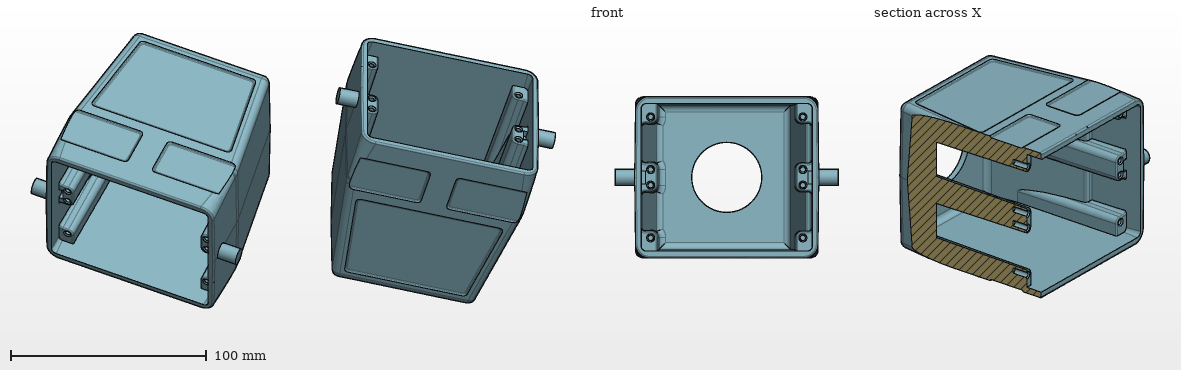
import cadquery as cq
import math


length = 94.0
half_width = 47.1
half_height = 41.3
side_lean = 8.2
bend_y = 29.9
bend_radius = 21.7
draft = 0.7
edge_radius = 4.0
mouth_corner_radius = 7.4
straight_length = 27.4
mouth_sections = 5
rim_round = 0.9

floor_y = 90.6
cavity_mouth_half_width = 43.8
cavity_mouth_half_height = 37.7
cavity_floor_half_height = 36.7
left_bend_y = 38.2
left_bend_half_width = 43.1
shoulder_y = 31.7
shoulder_length = 1.6
shoulder_outer = 43.2
shoulder_inner = 40.4
shoulder_round = 1.4
cavity_corner_radius = 2.8
floor_fillet = 3.4
cable_hole_diameter = 35.7

boss_y = 9.1
boss_inner_x = 35.6
boss_taper = 0.8
boss_corner_radius = 3.0
boss_end_round = 0.7
boss_foot_fillet = 3.3
boss_root_fillet = 2.0
boss_root_x = 43.7
centre_boss_half_height = 7.1
corner_boss_z = 27.8
screw_x = 38.9
centre_screw_z = 4.0
corner_screw_z = 30.9
screw_hole_diameter = 2.7
screw_sink_diameter = 4.1
screw_hole_depth = 9.1
notch_inner_x = 41.4
notch_height = 6.6
notch_depth = 3.4

pin_diameter = 8.4
pin_y = 8.5
pin_tip_x = 57.0
pin_embed = 1.1

panel_depth = 0.8
panel_wall_angle = 45.0
panel_corner_radius = 3.4
panel_floor_fillet = 0.9
label_front_y = 38.6
label_back_y = 87.4
label_inset = 6.6
latch_front_y = 11.7
latch_back_y = 33.3
latch_inner_x = 6.7

margin = 0.1
lean = math.tan(math.radians(side_lean))


def side_x(y):
    """Half width of the leaning outer side at depth y, on the parting line."""
    return half_width - lean * (y - bend_y)


def make_rear_shell():
    """Tapering rear of the hood, drafted both ways from the parting line."""
    back = side_x(length)
    plan = [
        (-half_width, 0),
        (half_width, 0),
        (half_width, bend_y),
        (back, length),
        (-back, length),
        (-half_width, bend_y),
    ]
    upper = cq.Workplane("XY").polyline(plan).close().extrude(half_height, taper=draft)
    bends = cq.selectors.BoxSelector(
        (-2 * half_width, bend_y - margin, 0),
        (2 * half_width, bend_y + margin, half_height),
    )
    upper = upper.edges("not(#Z)").edges(bends).fillet(bend_radius)
    upper = upper.edges("not(#Z)").edges(">Y").fillet(edge_radius)
    upper = upper.faces(">Z").edges("not(<Y)").fillet(edge_radius)
    shell = upper.union(upper.mirror("XY"))
    front_stretch = cq.Workplane("XY").box(4 * half_width, 2 * straight_length, 4 * half_height)
    return shell.cut(front_stretch)


def make_mouth_section(y):
    """Outline of the straight front at depth y, its corners larger nearer the mouth."""
    forward = 1 - y / straight_length
    radius = edge_radius + (mouth_corner_radius - edge_radius) * forward ** 1.5
    top = half_width - half_height * math.tan(math.radians(draft))
    points = [
        (-top, half_height),
        (top, half_height),
        (half_width, 0),
        (top, -half_height),
        (-top, -half_height),
        (-half_width, 0),
    ]
    wire = cq.Wire.makePolygon([cq.Vector(x, y, z) for x, z in points], close=True)
    corners = [v for v in wire.Vertices() if abs(v.Z) > half_height / 2]
    return wire.fillet2D(radius, corners)


def make_front_shell():
    depths = [straight_length * i / (mouth_sections - 1) for i in range(mouth_sections)]
    return cq.Workplane(cq.Solid.makeLoft([make_mouth_section(y) for y in depths]))


def make_outer_shell():
    front = make_front_shell().faces("<Y").edges().fillet(rim_round)
    return front.union(make_rear_shell())


def make_cavity():
    """Hollow with a thicker wall on the +X side, behind a sloped shoulder."""
    shoulder_end_y = shoulder_y + shoulder_length
    left_floor = left_bend_half_width - lean * (floor_y - left_bend_y)
    right_floor = shoulder_inner - lean * (floor_y - shoulder_end_y)
    plan = [
        (-cavity_mouth_half_width, 0),
        (cavity_mouth_half_width, 0),
        (shoulder_outer, shoulder_y),
        (shoulder_inner, shoulder_end_y),
        (right_floor, floor_y),
        (-left_floor, floor_y),
        (-left_bend_half_width, left_bend_y),
    ]
    heights = [
        (0, -cavity_mouth_half_height),
        (0, cavity_mouth_half_height),
        (floor_y, cavity_floor_half_height),
        (floor_y, -cavity_floor_half_height),
    ]
    side = cq.Workplane("YZ").polyline(heights).close().extrude(half_width, both=True)
    shoulder = cq.selectors.BoxSelector(
        (shoulder_inner - margin, shoulder_y - margin, -half_height),
        (half_width, shoulder_end_y + margin, half_height),
    )
    cavity = cq.Workplane("XY").polyline(plan).close().extrude(half_height, both=True)
    cavity = cavity.edges("|Z").edges(shoulder).fillet(shoulder_round).intersect(side)
    rounded_mouth = (
        cq.Workplane("XZ")
        .rect(2 * cavity_mouth_half_width, 2 * cavity_mouth_half_height)
        .extrude(-length)
        .edges("|Y")
        .fillet(cavity_corner_radius)
    )
    return cavity.faces(">Y").edges().fillet(floor_fillet).intersect(rounded_mouth)


def make_screw_hole(x, z):
    sink_depth = (screw_sink_diameter - screw_hole_diameter) / 2
    hole = cq.Solid.makeCylinder(
        screw_hole_diameter / 2, screw_hole_depth, cq.Vector(x, boss_y, z), cq.Vector(0, 1, 0)
    )
    sink = cq.Solid.makeCone(
        screw_sink_diameter / 2,
        screw_hole_diameter / 2,
        sink_depth,
        cq.Vector(x, boss_y, z),
        cq.Vector(0, 1, 0),
    )
    return cq.Workplane(hole.fuse(sink))


def make_wall_block(inner_x, half_size, z, front_y, back_y):
    """Block centred on the -X side at height z that reaches inward to inner_x."""
    return (
        cq.Workplane("XZ", origin=(-half_width, front_y, z))
        .rect(2 * (half_width - inner_x), 2 * half_size)
        .extrude(front_y - back_y)
    )


def widen_backward(block, front_y):
    """Tapered bar from the front outline of a block to the cavity floor."""
    outline = block.faces("<Y").wires().toPending()
    return outline.extrude(front_y - floor_y, taper=-boss_taper, combine=False)


def make_boss(half_size, z):
    """Boss on the -X wall, centred at height z and flared into the wall."""
    block = make_wall_block(boss_inner_x, half_size, z, boss_y, floor_y)
    block = block.edges("|Y").fillet(boss_corner_radius)
    root_half_size = half_size + 2 * boss_root_fillet
    block = block.union(make_wall_block(boss_root_x, root_half_size, z, boss_y, floor_y))
    inside_corners = cq.selectors.BoxSelector(
        (boss_root_x - 2 * half_width - margin, boss_y, z - half_size - margin),
        (-boss_root_x + margin, floor_y, z + half_size + margin),
    )
    block = block.edges("|Y").edges(inside_corners).fillet(boss_root_fillet)
    return widen_backward(block, boss_y).faces("<Y").edges().fillet(boss_end_round)


def make_boss_foot(half_size, z):
    """Flare of a boss into the cavity floor."""
    widening = math.tan(math.radians(boss_taper))
    front_y = floor_y - 2 * boss_foot_fillet
    growth = widening * (front_y - boss_y)
    block = make_wall_block(boss_inner_x - growth, half_size + growth, z, front_y, floor_y)
    block = block.edges("|Y").fillet(boss_corner_radius + growth)
    foot = widen_backward(block, front_y)
    base_growth = widening * (floor_y - boss_y)
    base_inner_x = boss_inner_x - base_growth
    base_half_size = half_size + base_growth
    slab_inner_x = base_inner_x - 2 * boss_foot_fillet
    slab_half_size = base_half_size + 2 * boss_foot_fillet
    foot = foot.union(make_wall_block(slab_inner_x, slab_half_size, z, floor_y, length))
    base = cq.selectors.BoxSelector(
        (base_inner_x - 2 * half_width - margin, floor_y - margin, z - base_half_size - margin),
        (-base_inner_x + margin, floor_y + margin, z + base_half_size + margin),
    )
    return foot.edges(base).fillet(boss_foot_fillet)


def make_left_bosses():
    corner_half_size = half_height - corner_boss_z
    bosses = make_boss(centre_boss_half_height, 0)
    bosses = bosses.union(make_boss_foot(centre_boss_half_height, 0))
    for z in (-half_height, half_height):
        bosses = bosses.union(make_boss(corner_half_size, z))
        bosses = bosses.union(make_boss_foot(corner_half_size, z))
    notch = cq.Workplane("XY").box(
        half_width - notch_inner_x, notch_depth, notch_height, centered=(False, False, True)
    )
    bosses = bosses.cut(notch.translate((-half_width, boss_y, 0)))
    for side in (-1, 1):
        for z in (centre_screw_z, corner_screw_z):
            bosses = bosses.cut(make_screw_hole(-screw_x, side * z))
    return bosses


def make_pocket():
    """Cavity less the bosses along both side walls."""
    bosses = make_left_bosses()
    return make_cavity().cut(bosses).cut(bosses.mirror("YZ"))


def make_panel(plan):
    """Cutter for a shallow top-face panel with sloped walls, given its outer rim."""
    return (
        cq.Workplane("XY", origin=(0, 0, half_height))
        .polyline(plan)
        .close()
        .extrude(-panel_depth, taper=panel_wall_angle)
    )


def make_panels():
    label_front = side_x(label_front_y) - label_inset
    label_back = side_x(label_back_y) - label_inset
    label = [
        (-label_front, label_front_y),
        (label_front, label_front_y),
        (label_back, label_back_y),
        (-label_back, label_back_y),
    ]
    latch_outer = half_width + panel_corner_radius
    panels = make_panel(label)
    for side in (-1, 1):
        latch = [
            (side * latch_inner_x, latch_front_y),
            (side * latch_outer, latch_front_y),
            (side * latch_outer, latch_back_y),
            (side * latch_inner_x, latch_back_y),
        ]
        panels = panels.union(make_panel(latch))
    panels = panels.edges("not(#Z)").fillet(panel_corner_radius)
    panels = panels.faces("<Z").edges().fillet(panel_floor_fillet)
    return panels.union(panels.mirror("XY"))


def make_pins():
    pin = cq.Workplane("YZ", origin=(-pin_tip_x, pin_y, 0)).circle(pin_diameter / 2)
    pin = pin.extrude(pin_tip_x - half_width + pin_embed)
    return pin.union(pin.mirror("YZ"))


cable_hole = cq.Workplane("XZ").circle(cable_hole_diameter / 2).extrude(-2 * length)

result = (
    make_outer_shell()
    .cut(make_panels())
    .cut(make_pocket())
    .cut(cable_hole)
    .union(make_pins())
)